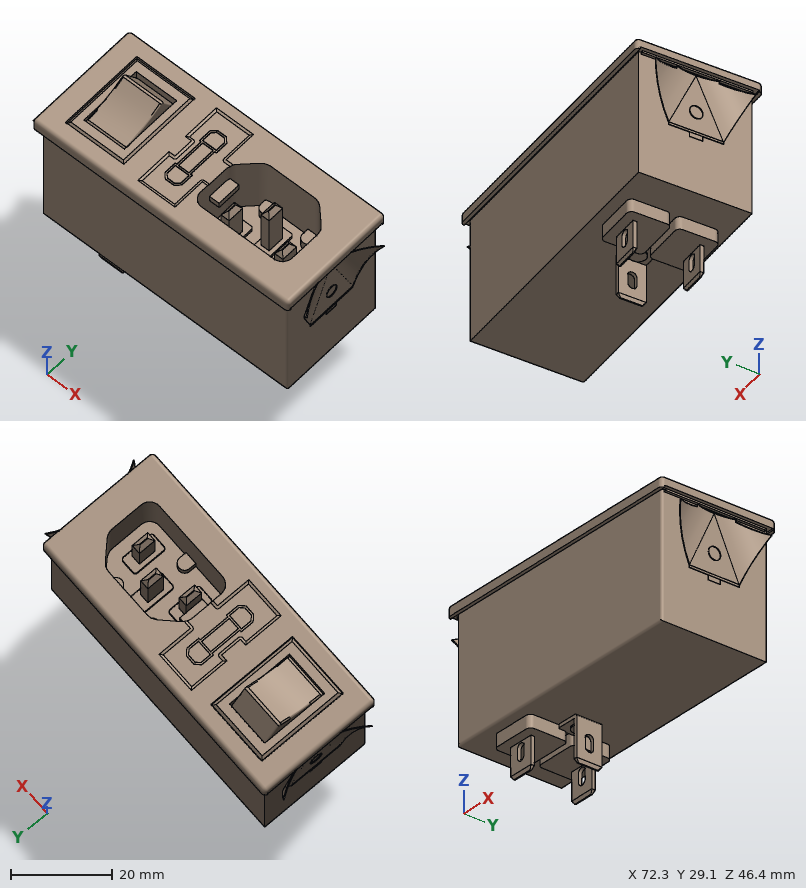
import cadquery as cq
import math


overall_length = 72.3
panel_length = 67.5
panel_width = 29.1
panel_thickness = 2.25
panel_round = 0.95
lip_width = 0.9
lip_bottom = -2.7
collar_length = 65.8
collar_width = 25.45

box_length = 64.5
box_width = 26.45
box_bottom = -32.2
box_round = 0.6

switch_x = -20.7
bezel_length = 15.3
bezel_width = 21.25
bezel_chamfer = 0.7
opening_length = 10.6
opening_width = 15.6
opening_depth = 5.8
rocker_gap = 0.15
rocker_top = 3.25
rocker_edge_round = 0.35
rocker_back_z = -1.7
rocker_peak_back_y = 4.05
rocker_peak_front_y = 3.4
rocker_hollow_y = -1.0
rocker_hollow_z = 1.1
rocker_toe_y = -7.1
rocker_toe_z = -0.3
rocker_toe_drop = 0.4

fuse_left = -8.3
fuse_right = 1.45
fuse_half_width = 11.7
fuse_depth = 0.2
fuse_wall_run = 0.6
tongue_reach = 1.6
tongue_half_width = 2.45
channel_half_width = 3.55
symbol_x = -3.4
symbol_line = 0.4
symbol_height = 0.15
cap_length = 4.5
cap_inner_y = 3.6
cap_outer_y = 7.8
cap_corner = 1.1
bar_length = 3.6

inlet_x = 14.9
inlet_length = 24.15
inlet_width = 16.4
inlet_corner = 5.05
inlet_corner_round = 3.3
inlet_round = 2.6
inlet_depth = 14.45
ledge_reach = 2.5
ledge_top = -4.35
ledge_thickness = 1.45
key_length = 2.95
key_width = 3.1
key_height = 2.2
key_offset = 5.5
pin_spacing = 7.1
pin_offset = 1.95
pin_length = 2.2
pin_width = 4.05
line_pin_top = -4.7
earth_pin_top = -2.25
pin_tip = 1.2
pin_tip_inset = 1.0
base_length = 4.2
base_width = 8.1
base_height = 0.7
base_round = 0.6

clip_thickness = 0.2
clip_top = -3.1
clip_shoulder = -3.6
clip_shoulder_y = 4.9
clip_base = -17.1
clip_base_y = 6.35
clip_strip = 0.5
clip_strip_rise = 0.15
clip_tip_y = 11.6
clip_tip_z = -5.65
clip_tab_y = 1.5
clip_tab_bottom = -18.7
clip_tab_rise = 0.1
clip_hole_z = -12.2
clip_hole_radius = 1.5

block_x = -18.5
block_length = 11.3
block_width = 9.75
block_height = 3.1
block_y = 5.6
block_round = 1.15
blade_y = 7.7
blade_width = 6.4
blade_thickness = 0.9
blade_bottom = -42.8
blade_tip = 0.9
blade_tip_corner = 0.65
blade_edge = 0.3
slot_width = 2.1
slot_length = 4.05
slot_rise = 5.1
ground_bottom = -43.1
ground_blade_x = -7.45
ground_plate_left = -13.2
ground_plate_round = 0.95
ground_bend_round = 0.65
rivet_x = -10.05
rivet_radius = 1.9
rivet_height = 0.35

overlap = 0.35


def block(length, width, bottom, top, x=0, y=0):
    """Upright rectangular block between two heights, centred on (x, y)."""
    return cq.Workplane("XY", origin=(x, y, bottom)).rect(length, width).extrude(top - bottom)


def make_panel():
    plate = block(panel_length, panel_width, lip_bottom, 0)
    plate = plate.edges("|Z").fillet(panel_round).faces(">Z").edges().fillet(panel_round)
    underside = block(panel_length, panel_width - 2 * lip_width, lip_bottom, -panel_thickness)
    return plate.cut(underside).union(block(collar_length, collar_width, lip_bottom, -panel_thickness))


def make_box():
    body = block(box_length, box_width, box_bottom, -panel_thickness)
    return body.faces("<Y").edges("|Z or <Z").fillet(box_round)


def bezel_groove():
    """Groove with an upright outer wall and the chamfered bezel edge as its inner wall."""
    outer = block(bezel_length, bezel_width, -bezel_chamfer, 0, switch_x)
    bezel = (
        cq.Workplane("XY", origin=(switch_x, 0, -bezel_chamfer))
        .rect(bezel_length, bezel_width)
        .extrude(bezel_chamfer, taper=45)
    )
    return outer.cut(bezel)


def switch_opening():
    return block(opening_length, opening_width, -opening_depth, 0, switch_x)


def fuse_recess():
    """Shallow recess with sloped walls and a channel that runs into the inlet."""
    channel_end = inlet_x - inlet_length / 2 + 2 * fuse_wall_run
    upper = [
        (fuse_left + tongue_reach, tongue_half_width),
        (fuse_left, tongue_half_width),
        (fuse_left, fuse_half_width),
        (fuse_right, fuse_half_width),
        (fuse_right, channel_half_width),
        (channel_end, channel_half_width),
    ]
    lower = [(x, -y) for x, y in reversed(upper)]
    wall_taper = math.degrees(math.atan(fuse_wall_run / fuse_depth))
    return cq.Workplane("XY").polyline(upper + lower).close().extrude(-fuse_depth, taper=wall_taper)


def fuse_symbol():
    """Raised outline of a fuse on the recess floor."""
    bottom = -fuse_depth - overlap
    top = -fuse_depth + symbol_height
    cap_width = cap_outer_y - cap_inner_y
    cap = block(cap_length, cap_width, bottom, top, symbol_x, cap_inner_y + cap_width / 2)
    cap = cap.edges("|Z and >Y").chamfer(cap_corner).faces(">Z or <Z").shell(-symbol_line)
    symbol = cap.union(cap.mirror("XZ"))
    strip_width = 2 * cap_inner_y + symbol_line
    for side in (-1, 1):
        strip_x = symbol_x + side * (bar_length - symbol_line) / 2
        symbol = symbol.union(block(symbol_line, strip_width, bottom, top, strip_x))
    return symbol


def inlet_cavity():
    cavity = block(inlet_length, inlet_width, -inlet_depth, 0, inlet_x)
    cavity = cavity.edges("|Z and <Y").fillet(inlet_round)
    cavity = cavity.edges("|Z and >Y").chamfer(inlet_corner)
    chamfer_ends = cq.selectors.BoxSelector(
        (inlet_x - inlet_length, 0, -inlet_depth), (inlet_x + inlet_length, inlet_width, 0)
    )
    return cavity.edges("|Z").edges(chamfer_ends).fillet(inlet_corner_round)


def inlet_key(x, side):
    """Low round-ended key on the inlet floor; side is +1 or -1 for its Y wall."""
    radius = key_length / 2
    straight = key_width - radius + overlap
    wall_y = inlet_width / 2 + overlap
    bottom = -inlet_depth - overlap
    top = -inlet_depth + key_height
    key = block(key_length, straight, bottom, top, x, side * (wall_y - straight / 2))
    nose = cq.Workplane("XY", origin=(x, side * (wall_y - straight), bottom)).circle(radius)
    return key.union(nose.extrude(top - bottom))


def inlet_pin(x, y, pin_top):
    """Contact pin with a pyramid tip, standing on a rounded base."""
    floor = -inlet_depth - overlap
    base = block(base_length, base_width, floor, -inlet_depth + base_height, x, y)
    base = base.edges("|Z").fillet(base_round)
    shaft = block(pin_length, pin_width, floor, pin_top - pin_tip, x, y)
    tip = (
        cq.Workplane("XY", origin=(x, y, pin_top - pin_tip))
        .rect(pin_length, pin_width)
        .extrude(pin_tip, taper=math.degrees(math.atan(pin_tip_inset / pin_tip)))
    )
    return base.union(shaft).union(tip)


def inlet_ledge():
    wall_x = inlet_x - inlet_length / 2
    length = ledge_reach + overlap
    return block(
        length,
        2 * (channel_half_width - fuse_wall_run),
        ledge_top - ledge_thickness,
        ledge_top,
        wall_x - overlap + length / 2,
    )


def clip_outline(points, inner_x, outer_x):
    """Prism along X with an outline given as (y, z) points."""
    return cq.Workplane("YZ", origin=(inner_x, 0, 0)).polyline(points).close().extrude(outer_x - inner_x)


def clip_wing(face_x):
    """Wing on +Y that curls outward about the fold line from the clip apex to its base corner."""
    fold_y = clip_base_y
    fold_z = clip_base - clip_top
    fold_length = math.hypot(fold_y, fold_z)
    tip_distance = abs(fold_y * (clip_tip_z - clip_top) - fold_z * clip_tip_y) / fold_length
    reach = overall_length / 2 - box_length / 2
    radius = (tip_distance**2 + reach**2 - clip_thickness**2) / (2 * (reach - clip_thickness))

    direction = cq.Vector(0, fold_y / fold_length, fold_z / fold_length)
    start = cq.Vector(face_x + radius, 0, clip_top) - direction * fold_length
    outer = cq.Solid.makeCylinder(radius, 3 * fold_length, start, direction)
    inner = cq.Solid.makeCylinder(radius - clip_thickness, 3 * fold_length, start, direction)
    curl = cq.Workplane(obj=outer).cut(cq.Workplane(obj=inner))
    outline = clip_outline(
        [
            (0, clip_top),
            (clip_shoulder_y, clip_top),
            (clip_shoulder_y, clip_shoulder),
            (clip_tip_y, clip_tip_z),
            (clip_base_y, clip_base),
        ],
        face_x,
        face_x + 2 * reach,
    )
    return curl.intersect(outline)


def make_clip():
    """Spring clip on the +X end of the box: a flat triangle between two curled wings."""
    face_x = box_length / 2
    inner_x = face_x - overlap
    strip_bottom = clip_base - clip_strip
    triangle = [(0, clip_top), (clip_base_y, clip_base), (-clip_base_y, clip_base)]
    strip = [
        (-clip_base_y, clip_base),
        (clip_base_y, clip_base),
        (clip_base_y, strip_bottom),
        (-clip_base_y, strip_bottom),
    ]
    tab = [
        (-clip_tab_y, strip_bottom),
        (clip_tab_y, strip_bottom),
        (clip_tab_y, clip_tab_bottom),
        (-clip_tab_y, clip_tab_bottom),
    ]
    hole = cq.Workplane("YZ", origin=(face_x, 0, clip_hole_z)).circle(clip_hole_radius)
    clip = clip_outline(triangle, inner_x, face_x + clip_thickness).cut(hole.extrude(clip_thickness))
    clip = clip.union(clip_outline(strip, inner_x, face_x + clip_strip_rise))
    clip = clip.union(clip_outline(tab, inner_x, face_x + clip_tab_rise))
    wing = clip_wing(face_x)
    return clip.union(wing).union(wing.mirror("XZ"))


def make_blade(bottom):
    """Slotted blade with a tapered tip, in the XZ plane and centred on X = Y = 0."""
    top = box_bottom + overlap
    tip_top = bottom + blade_tip

    def profile(plane, width, tip_width, depth):
        half = width / 2
        tip_half = tip_width / 2
        points = [
            (-half, top),
            (-half, tip_top),
            (-tip_half, bottom),
            (tip_half, bottom),
            (half, tip_top),
            (half, top),
        ]
        return cq.Workplane(plane).polyline(points).close().extrude(depth / 2, both=True)

    wide = profile("XZ", blade_width, blade_width - 2 * blade_tip_corner, blade_thickness)
    thin = profile("YZ", blade_thickness, blade_edge, blade_width)
    slot = cq.Workplane("XZ", origin=(0, 0, bottom + slot_rise)).slot2D(slot_length, slot_width, 90)
    return wide.intersect(thin).cut(slot.extrude(blade_thickness, both=True))


def switch_terminal(side):
    """Terminal block with its blade; side is +1 or -1 for its half of the box."""
    bottom = box_bottom - block_height
    base = block(block_length, block_width, bottom, box_bottom + overlap, block_x, side * block_y)
    base = base.edges("|Z").fillet(block_round)
    return base.union(make_blade(blade_bottom).translate((block_x, side * blade_y, 0)))


def ground_terminal():
    """Bent terminal riveted flat under the box, with its blade facing X."""
    plate_bottom = box_bottom - blade_thickness
    plate_right = ground_blade_x + blade_thickness / 2
    plate_length = plate_right - ground_plate_left
    plate = block(plate_length, blade_width, plate_bottom, box_bottom, ground_plate_left + plate_length / 2)
    plate = plate.edges("|Z and <X").fillet(ground_plate_round)
    blade = make_blade(ground_bottom).rotate((0, 0, 0), (0, 0, 1), 90).translate((ground_blade_x, 0, 0))
    below_box = block(box_length, box_width, ground_bottom, box_bottom)
    bracket = plate.union(blade.intersect(below_box))
    bracket = bracket.edges("|Y and >X and >Z").fillet(ground_bend_round)
    rivet = cq.Workplane("XY", origin=(rivet_x, 0, plate_bottom - rivet_height)).circle(rivet_radius)
    return bracket.union(rivet.extrude(rivet_height + overlap))


def make_housing():
    body = make_panel().union(make_box())
    for cutter in (bezel_groove(), switch_opening(), fuse_recess(), inlet_cavity()):
        body = body.cut(cutter)

    body = body.union(fuse_symbol()).union(inlet_ledge())
    for x, side in ((inlet_x - key_offset, 1), (inlet_x + key_offset, 1), (inlet_x, -1)):
        body = body.union(inlet_key(x, side))
    body = body.union(inlet_pin(inlet_x, pin_offset, earth_pin_top))
    for side in (-1, 1):
        body = body.union(inlet_pin(inlet_x + side * pin_spacing, -pin_offset, line_pin_top))

    clip = make_clip()
    body = body.union(clip).union(clip.mirror("YZ"))
    for side in (-1, 1):
        body = body.union(switch_terminal(side))
    return body.union(ground_terminal())


def make_rocker():
    """Rocker with a flat peak, a steep back face and a hollow front face."""
    length = opening_length - 2 * rocker_gap
    half_width = opening_width / 2 - rocker_gap
    profile = (
        cq.Workplane("YZ", origin=(switch_x, 0, 0))
        .moveTo(half_width, -opening_depth)
        .lineTo(half_width, rocker_back_z)
        .lineTo(rocker_peak_back_y, rocker_top)
        .lineTo(rocker_peak_front_y, rocker_top)
        .threePointArc((rocker_hollow_y, rocker_hollow_z), (rocker_toe_y, rocker_toe_z))
        .lineTo(-half_width, rocker_toe_z - rocker_toe_drop)
        .lineTo(-half_width, -opening_depth)
        .close()
    )
    body = profile.extrude(length / 2, both=True)
    return body.faces("<X or >X").edges("not (|Z or <Z)").fillet(rocker_edge_round)


housing = make_housing()
rocker = make_rocker()

result = cq.Compound.makeCompound([*housing.solids().vals(), *rocker.solids().vals()])